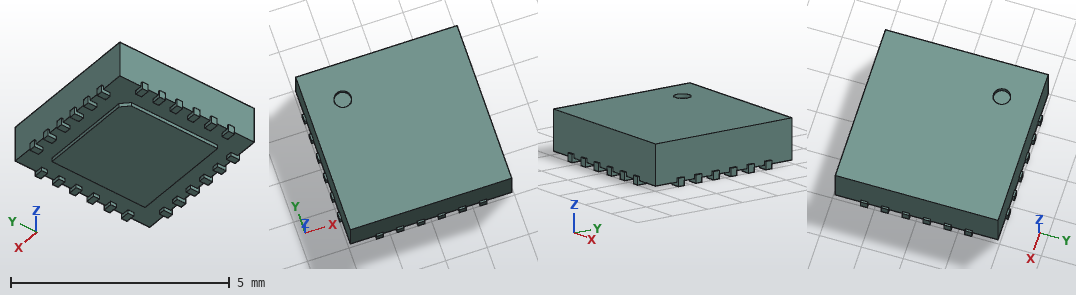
import cadquery as cq

overall_width = 4.0
overall_height = 1.1
body_width = 3.9
standoff = 0.1
lead_overhang = (overall_width - body_width) / 2
body_height = overall_height - standoff

leads_per_side = 6
lead_pitch = 0.5
lead_width = 0.17
lead_reach_under_body = 0.2
lead_length = lead_reach_under_body + lead_overhang
lead_height = 0.2

pad_width = 2.7
pad_corner_chamfer = 0.2

mark_diameter = 0.4
mark_depth = 0.1
mark_offset = 1.1


def make_body():
    """Plain square block raised above the seating plane by the standoff."""
    return (
        cq.Workplane("XY")
        .workplane(offset=standoff)
        .rect(body_width, body_width)
        .extrude(body_height)
    )


def make_lead_row():
    """Leads on the -Y side, reaching from under the body to just outside it."""
    row_center = -(overall_width - lead_length) / 2
    return (
        cq.Workplane("XY")
        .center(0, row_center)
        .rarray(lead_pitch, 0.04, leads_per_side, 1)
        .rect(lead_width, lead_length)
        .extrude(lead_height)
    )


def make_pad():
    """Thermal pad filling the standoff, clipped at its -X +Y corner."""
    return (
        cq.Workplane("XY")
        .rect(pad_width, pad_width)
        .extrude(standoff)
        .edges("|Z and <X and >Y")
        .chamfer(pad_corner_chamfer)
    )


def make_mark():
    """Cutter for the round index mark."""
    return (
        cq.Workplane("XY")
        .workplane(offset=overall_height - mark_depth)
        .center(-mark_offset, mark_offset)
        .circle(mark_diameter / 2)
        .extrude(mark_depth)
    )


result = make_body().union(make_pad())
lead_row = make_lead_row()
for side_angle in (0, 90, 180, 270):
    result = result.union(lead_row.rotate((0, 0, 0), (0, 0, 1), side_angle))
result = result.cut(make_mark())